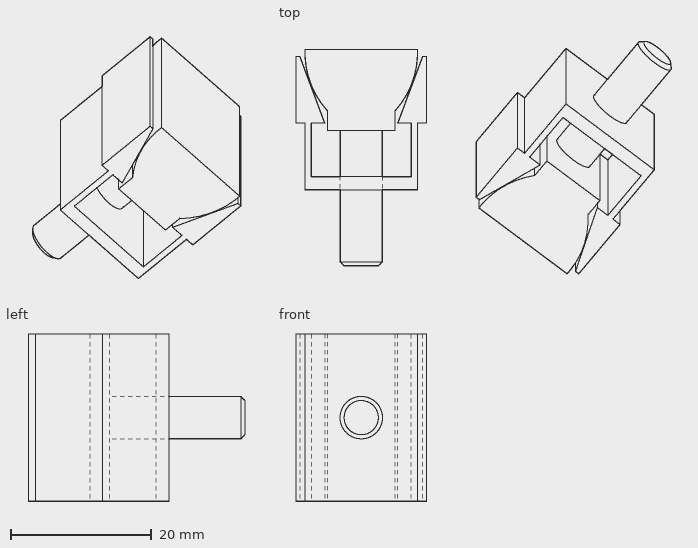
import cadquery as cq

total_length = 30.8
height = 23.8

block_half_width = 8.0
neck_half_width = 4.8
flank_end_depth = 8.78
flank_bulge = 0.75
block_depth = 11.55

jaw_half_width = 9.3
jaw_tip_half_gap = 8.72
jaw_heel_half_gap = 5.17
jaw_tip_depth = 1.02
jaw_heel_depth = 10.5
wall_thickness = 0.92
base_thickness = 1.88
clip_end_depth = 20.0
clip_half_width = block_half_width
channel_half_width = clip_half_width - wall_thickness
channel_floor_depth = clip_end_depth - base_thickness

screw_diameter = 6.05
screw_chamfer = 0.6
screw_length = total_length - block_depth


def mirrored(points):
    """Reflect outline points across X = 0, in reverse order."""
    return [(-x, y) for x, y in reversed(points)]


def extrude_to_height(outline):
    """Extrude a closed XY outline symmetrically about Z = 0."""
    return outline.extrude(height / 2, both=True)


def make_wedge_block():
    outline = (
        cq.Workplane("XY")
        .moveTo(-block_half_width, 0)
        .lineTo(block_half_width, 0)
        .lineTo(block_half_width, -jaw_tip_depth)
        .sagittaArc((neck_half_width, -flank_end_depth), flank_bulge)
        .lineTo(neck_half_width, -block_depth)
        .lineTo(-neck_half_width, -block_depth)
        .lineTo(-neck_half_width, -flank_end_depth)
        .sagittaArc((-block_half_width, -jaw_tip_depth), flank_bulge)
        .close()
    )
    return extrude_to_height(outline)


def make_clip():
    right_half = [
        (channel_half_width, -channel_floor_depth),
        (channel_half_width, -jaw_heel_depth),
        (jaw_heel_half_gap, -jaw_heel_depth),
        (jaw_tip_half_gap, -jaw_tip_depth),
        (jaw_half_width, -jaw_tip_depth),
        (jaw_half_width, -jaw_heel_depth),
        (clip_half_width, -jaw_heel_depth),
        (clip_half_width, -clip_end_depth),
    ]
    outline = cq.Workplane("XY").polyline(right_half + mirrored(right_half)).close()
    screw_hole = (
        cq.Workplane("XZ", origin=(0, -channel_floor_depth, 0))
        .circle(screw_diameter / 2)
        .extrude(base_thickness)
    )
    return extrude_to_height(outline).cut(screw_hole)


def make_screw():
    return (
        cq.Workplane("XZ", origin=(0, -block_depth, 0))
        .circle(screw_diameter / 2)
        .extrude(screw_length)
        .faces("<Y")
        .chamfer(screw_chamfer)
    )


wedge_block = make_wedge_block().solids()
clip = make_clip().solids()
screw = make_screw().solids()

result = cq.Compound.makeCompound([wedge_block.val(), clip.val(), screw.val()])